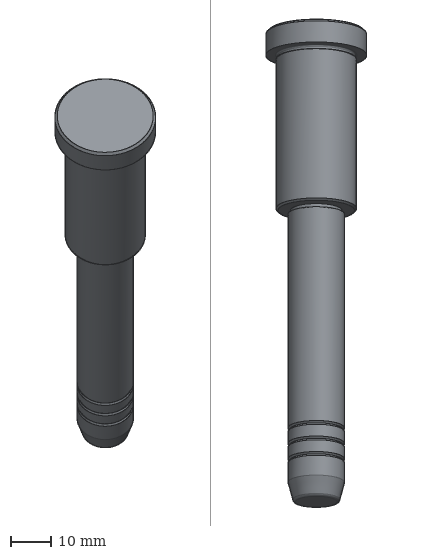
import cadquery as cq
import math

total_length = 121.0
head_diameter = 25.0
head_height = 6.0
head_chamfer = 0.6
body_diameter = 20.0
body_bottom = 75.0
body_chamfer = 0.5
pin_diameter = 14.0
taper_height = 5.0
taper_angle = 15.0
tip_fillet = 0.7

relief_width = 1.0
head_relief_depth = 0.2
head_relief_fillet = 0.4
body_relief_depth = 0.6

groove_count = 3
groove_depth = 0.4
groove_width = 1.0
groove_pitch = 4.0
first_groove_center = 10.5

head_bottom = total_length - head_height
tip_diameter = pin_diameter - 2 * taper_height * math.tan(math.radians(taper_angle))


def cylinder(diameter, bottom, top):
    return cq.Workplane("XY").workplane(offset=bottom).circle(diameter / 2).extrude(top - bottom)


def relief_ring(shaft_diameter, bottom, width, depth):
    """Rectangular ring cutter around a shaft, open to the shaft surface."""
    outer = cylinder(shaft_diameter, bottom, bottom + width)
    inner = cylinder(shaft_diameter - 2 * depth, bottom, bottom + width)
    return outer.cut(inner)


def v_ring(center_height):
    """Triangular-section ring cutter with its apex inside the pin surface."""
    pin_radius = pin_diameter / 2
    profile = [
        (pin_radius, center_height - groove_width / 2),
        (pin_radius - groove_depth, center_height),
        (pin_radius, center_height + groove_width / 2),
    ]
    return cq.Workplane("XZ").polyline(profile).close().revolve(360, (0, 0), (0, 1))


def head_corner_fillet():
    """Concave round between the relieved body and the underside of the head."""
    neck_radius = body_diameter / 2 - head_relief_depth
    arc_offset = head_relief_fillet * (1 - math.sqrt(0.5))
    section = (
        cq.Workplane("XZ")
        .moveTo(0, head_bottom)
        .lineTo(0, head_bottom - head_relief_fillet)
        .lineTo(neck_radius, head_bottom - head_relief_fillet)
        .threePointArc(
            (neck_radius + arc_offset, head_bottom - arc_offset),
            (neck_radius + head_relief_fillet, head_bottom),
        )
        .close()
    )
    return section.revolve(360, (0, 0), (0, 1))


def tapered_tip():
    profile = [
        (0, 0),
        (tip_diameter / 2, 0),
        (pin_diameter / 2, taper_height),
        (0, taper_height),
    ]
    tip = cq.Workplane("XZ").polyline(profile).close().revolve(360, (0, 0), (0, 1))
    return tip.faces("<Z").edges().fillet(tip_fillet)


head = cylinder(head_diameter, head_bottom, total_length).faces(">Z").edges().chamfer(head_chamfer)
body = cylinder(body_diameter, body_bottom, head_bottom).faces("<Z").edges().chamfer(body_chamfer)
pin = cylinder(pin_diameter, taper_height, body_bottom)

body = body.cut(relief_ring(body_diameter, head_bottom - relief_width, relief_width, head_relief_depth))
pin = pin.cut(relief_ring(pin_diameter, body_bottom - relief_width, relief_width, body_relief_depth))

for index in range(groove_count):
    pin = pin.cut(v_ring(first_groove_center + index * groove_pitch))

result = tapered_tip().union(pin).union(body).union(head).union(head_corner_fillet())